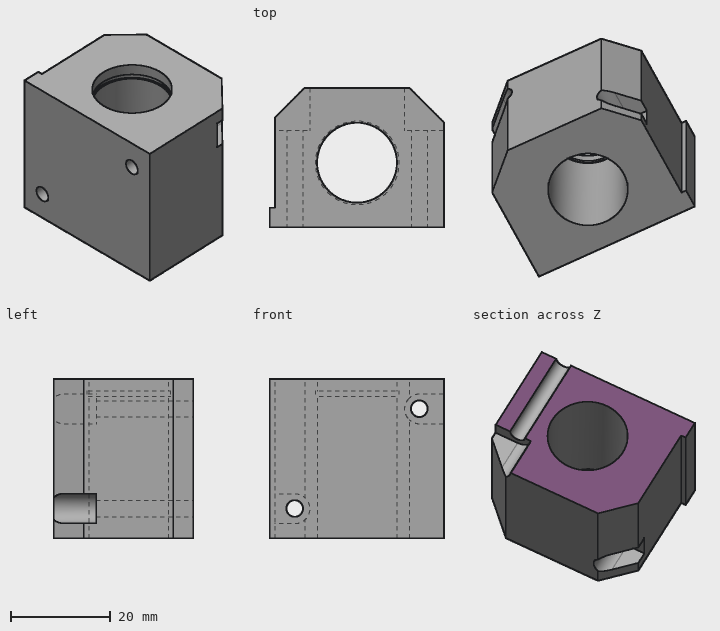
import cadquery as cq

width = 35.0
depth = 28.0
height = 32.0

lip_projection = 1.0
lip_depth = 4.0
left_chamfer = 6.0
right_chamfer = 7.0

bore_diameter = 16.0
bore_y = 13.0
groove_diameter = 16.8
groove_depth = 2.4
groove_width = 1.1

screw_diameter = 3.3
screw_side_inset = 5.0
screw_end_inset = 6.0
head_diameter = 6.0
head_depth = 8.5


def make_body():
    """Extruded block with two chamfered rear corners and a lip on one side."""
    return (
        cq.Workplane("XY")
        .polyline([
            (0, 0),
            (width, 0),
            (width, depth - right_chamfer),
            (width - right_chamfer, depth),
            (lip_projection + left_chamfer, depth),
            (lip_projection, depth - left_chamfer),
            (lip_projection, lip_depth),
            (0, lip_depth),
        ])
        .close()
        .extrude(height)
    )


def vertical_cylinder(diameter, bottom, length):
    """Cylinder on the bore axis."""
    return (
        cq.Workplane("XY", origin=(width / 2, bore_y, bottom))
        .circle(diameter / 2)
        .extrude(length)
    )


def rearward_cylinder(diameter, x, z, start, length):
    """Cylinder along +Y for a screw hole or its head recess."""
    return (
        cq.Workplane("XZ", origin=(x, start, z))
        .circle(diameter / 2)
        .extrude(-length)
    )


body = make_body()

body = body.cut(vertical_cylinder(bore_diameter, 0, height))
groove_bottom = height - groove_depth - groove_width
body = body.cut(vertical_cylinder(groove_diameter, groove_bottom, groove_width))

head_seat_y = depth - head_depth
screw_positions = [
    (screw_side_inset, screw_end_inset),
    (width - screw_side_inset, height - screw_end_inset),
]
for x, z in screw_positions:
    body = body.cut(rearward_cylinder(screw_diameter, x, z, 0, depth))
    body = body.cut(rearward_cylinder(head_diameter, x, z, head_seat_y, head_depth))

for side_x, z in [(0, screw_end_inset), (width - screw_side_inset, height - screw_end_inset)]:
    side_opening = (
        cq.Workplane("XY")
        .box(screw_side_inset, head_depth, head_diameter, centered=(False, False, True))
        .translate((side_x, head_seat_y, z))
    )
    body = body.cut(side_opening)

result = body